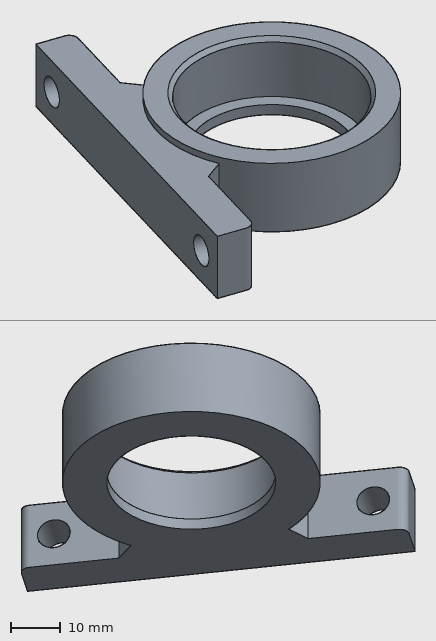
import cadquery as cq

base_length = 79.5
base_depth = 8.6
base_height = 15.0
corner_radius = 2.0

mount_hole_diameter = 6.7
mount_hole_spacing = 65.5

ring_diameter = 52.0
ring_height = 16.5
overall_depth = 59.0
ring_center_y = overall_depth - ring_diameter / 2
seat_diameter = 40.0
bore_diameter = 34.0
floor_thickness = 2.5
seat_chamfer = 0.95

web_base_half_width = 19.4
web_ring_half_width = 16.1
web_ring_y = 12.7


def make_base():
    """Bar with its front face on the XZ plane and rounded rear corners."""
    bar = cq.Workplane("XY").box(base_length, base_depth, base_height, centered=(True, False, False))
    return bar.edges("|Z and >Y").fillet(corner_radius)


def make_web():
    """Tapered web whose top end is buried in the ring."""
    outline = [
        (-web_base_half_width, base_depth),
        (web_base_half_width, base_depth),
        (web_ring_half_width, web_ring_y),
        (0, ring_center_y),
        (-web_ring_half_width, web_ring_y),
    ]
    return cq.Workplane("XY").polyline(outline).close().extrude(base_height)


def make_ring_blank():
    """Solid cylinder that forms the outside of the ring."""
    return cq.Workplane("XY").center(0, ring_center_y).circle(ring_diameter / 2).extrude(ring_height)


def make_ring_cavity():
    """Through bore and wider bearing seat with a chamfered mouth."""
    bore_radius = bore_diameter / 2
    seat_radius = seat_diameter / 2
    mouth_radius = seat_radius + seat_chamfer
    half_section = [
        (0, 0),
        (bore_radius, 0),
        (bore_radius, floor_thickness),
        (seat_radius, floor_thickness),
        (seat_radius, ring_height - seat_chamfer),
        (mouth_radius, ring_height),
        (0, ring_height),
    ]
    return (
        cq.Workplane("XZ", origin=(0, ring_center_y, 0))
        .polyline(half_section)
        .close()
        .revolve(360, (0, 0), (0, 1))
    )


def make_mount_holes():
    """Two holes along Y at mid height of the bar."""
    return (
        cq.Workplane("XZ", origin=(0, 0, base_height / 2))
        .pushPoints([(-mount_hole_spacing / 2, 0), (mount_hole_spacing / 2, 0)])
        .circle(mount_hole_diameter / 2)
        .extrude(-base_depth)
    )


body = make_base().union(make_web()).union(make_ring_blank())
result = body.cut(make_ring_cavity()).cut(make_mount_holes())